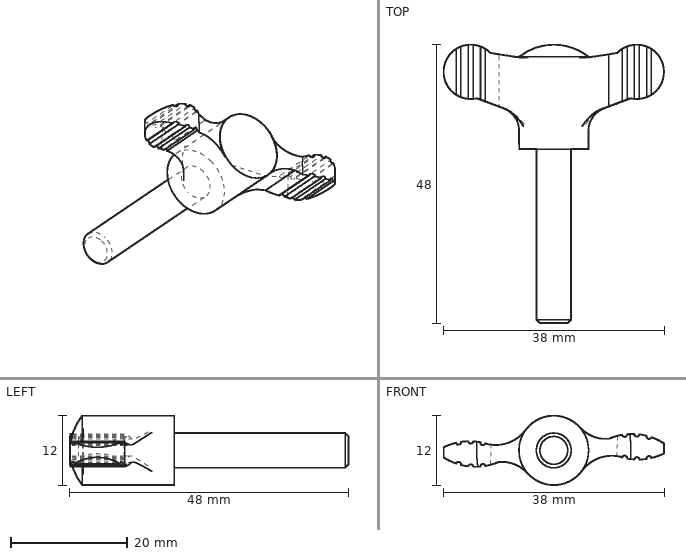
import cadquery as cq
import math

hub_radius = 6.0
hub_shoulder = 15.9
hub_height = 18.0
shaft_radius = 3.0
shaft_length = 30.0
shaft_chamfer = 0.6

wing_span = 37.99
head_radius = 4.7
head_x = wing_span / 2 - head_radius
head_y = hub_height - head_radius

neck_rim_radius = 13.5
neck_top_at_hub = 15.75
neck_top_at_rim = 16.95
neck_bottom_at_hub = 6.0
neck_bottom_angle = 20.4
flare_start_y = 3.2

upper_hub_angle = 42.2
lower_hub_angle = -36.4
upper_blend_end = (8.3, 2.02)
grip_radius = 10.0
upper_grip_center = (13.5, -7.15)
lower_grip_center = (14.5, 8.4)
upper_grip_start_x = 9.48
lower_grip_start_x = 11.3

groove_radius = 0.42
groove_positions = (12.21, 14.31, 16.42)


def hub_point(angle):
    """Point of the hub circle in the XZ plane."""
    return (
        hub_radius * math.cos(math.radians(angle)),
        hub_radius * math.sin(math.radians(angle)),
    )


def grip_point(center, x, side):
    """Point at x on a grip arc; side is +1 for the upper face and -1 for the lower one."""
    return (x, center[1] + side * math.sqrt(grip_radius**2 - (x - center[0]) ** 2))


def hub_blend_middle(angle, end):
    """Middle of the concave arc that leaves the hub circle tangentially and runs to end."""
    start = hub_point(angle)
    reach = (end[0] * start[0] + end[1] * start[1]) / hub_radius - hub_radius
    radius = math.dist(start, end) ** 2 / (2 * reach)
    scale = 1 + radius / hub_radius
    center = (start[0] * scale, start[1] * scale)
    to_chord = ((start[0] + end[0]) / 2 - center[0], (start[1] + end[1]) / 2 - center[1])
    stretch = radius / math.hypot(*to_chord)
    return (center[0] + to_chord[0] * stretch, center[1] + to_chord[1] * stretch)


def along_y(outline):
    """Extrude an XZ outline from the hub base to the hub top."""
    return outline.extrude(-hub_height)


def make_hub_and_shaft():
    """Domed hub with a chamfered shaft, turned about the Y axis."""
    dome_radius = (hub_radius**2 + (hub_height - hub_shoulder) ** 2) / (2 * (hub_height - hub_shoulder))
    dome_mid_x = hub_radius / 2
    dome_mid_y = hub_height - dome_radius + math.sqrt(dome_radius**2 - dome_mid_x**2)
    return (
        cq.Workplane("XY")
        .moveTo(0, -shaft_length)
        .lineTo(shaft_radius - shaft_chamfer, -shaft_length)
        .lineTo(shaft_radius, shaft_chamfer - shaft_length)
        .lineTo(shaft_radius, 0)
        .lineTo(hub_radius, 0)
        .lineTo(hub_radius, hub_shoulder)
        .threePointArc((dome_mid_x, dome_mid_y), (0, hub_height))
        .close()
        .revolve(360, (0, 0, 0), (0, 1, 0))
    )


def make_thickness_profile():
    """Wing thickness profile with its finger grooves, extruded along Y."""
    half_span = wing_span / 2
    upper_start = grip_point(upper_grip_center, upper_grip_start_x, 1)
    upper_crest = grip_point(upper_grip_center, upper_grip_center[0], 1)
    upper_tip = grip_point(upper_grip_center, half_span, 1)
    lower_tip = grip_point(lower_grip_center, half_span, -1)
    lower_crest = grip_point(lower_grip_center, lower_grip_center[0], -1)
    lower_start = grip_point(lower_grip_center, lower_grip_start_x, -1)
    profile = along_y(
        cq.Workplane("XZ")
        .lineTo(*hub_point(upper_hub_angle))
        .threePointArc(hub_blend_middle(upper_hub_angle, upper_blend_end), upper_blend_end)
        .lineTo(*upper_start)
        .threePointArc(upper_crest, upper_tip)
        .lineTo(*lower_tip)
        .threePointArc(lower_crest, lower_start)
        .threePointArc(hub_blend_middle(lower_hub_angle, lower_start), hub_point(lower_hub_angle))
        .close()
    )
    groove_centers = []
    for x in groove_positions:
        groove_centers.append(grip_point(upper_grip_center, x, 1))
        groove_centers.append(grip_point(lower_grip_center, x, -1))
    return profile.cut(along_y(cq.Workplane("XZ").pushPoints(groove_centers).circle(groove_radius)))


def make_neck():
    """Disc around the hub whose underside flares tangentially from the hub into a cone."""
    slope = math.tan(math.radians(neck_bottom_angle))
    drop_at_hub = neck_bottom_at_hub - flare_start_y
    flare_radius = drop_at_hub / (math.hypot(1, slope) - slope)
    flare_center_x = hub_radius + flare_radius

    def flare_point(angle):
        return (
            flare_center_x - flare_radius * math.cos(math.radians(angle)),
            flare_start_y + flare_radius * math.sin(math.radians(angle)),
        )

    flare_end_angle = 90 - neck_bottom_angle
    neck_bottom_at_rim = neck_bottom_at_hub + slope * (neck_rim_radius - hub_radius)
    return (
        cq.Workplane("XY")
        .moveTo(0, flare_start_y)
        .lineTo(hub_radius, flare_start_y)
        .threePointArc(flare_point(flare_end_angle / 2), flare_point(flare_end_angle))
        .lineTo(neck_rim_radius, neck_bottom_at_rim)
        .lineTo(neck_rim_radius, neck_top_at_rim)
        .lineTo(hub_radius, neck_top_at_hub)
        .lineTo(0, neck_top_at_hub)
        .close()
        .revolve(360, (0, 0, 0), (0, 1, 0))
    )


def make_head():
    """Round head, as deep along Z as the hub."""
    return cq.Workplane("XY").center(head_x, head_y).circle(head_radius).extrude(hub_radius, both=True)


def make_wing():
    """Wing on the +X side."""
    return make_thickness_profile().intersect(make_neck().union(make_head()))


wing = make_wing()
opposite_wing = wing.rotate((0, 0, 0), (0, 1, 0), 180)
result = make_hub_and_shaft().union(wing).union(opposite_wing)